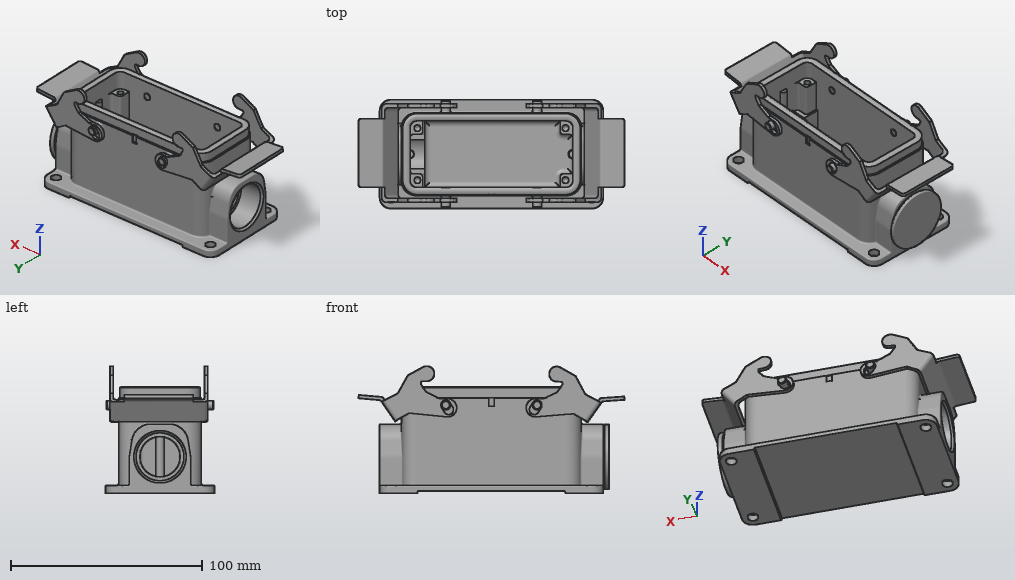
import cadquery as cq
import math

base_length = 117.0
base_width = 57.0
base_top = 4.2
base_corner_radius = 6.0
mounting_hole_diameter = 5.6
relief_length = 77.6
relief_depth = 1.2
relief_flare = 0.6

junction_radius = 0.9
outer_edge_radius = 0.7

box_length = 94.0
box_width = 43.3
box_corner_radius = 7.8
box_top = 50.0
box_shoulder_chamfer = 0.4
rim_length = 92.7
rim_width = 42.3
rim_wall = 3.8
rim_corner_radius = 7.4
rim_top = 55.8
rim_crown = 0.7
cavity_length = rim_length - 2 * rim_wall
cavity_width = rim_width - 2 * rim_wall
cavity_corner_radius = rim_corner_radius - rim_wall
floor_z = 4.0
floor_fillet = 3.0
notch_width = 3.0
notch_height = 4.6
notch_depth = 1.0

post_size_x = 6.6
post_inner_y = 10.3
post_top = 44.6
post_corner_radius = 1.5
post_root_radius = 1.7
screw_hole_diameter = 3.4
screw_hole_x = 38.7
screw_hole_y = 13.6
screw_hole_depth = 10.0
screw_hole_tip_depth = 1.0
rib_top = post_top
rib_top_diameter = 4.0
rib_base_diameter = 4.75
block_inner_x = -34.9
block_top = 26.3

entry_z = 19.1
entry_half_width = 16.05
entry_knee_z = 18.05
entry_knee_radius = 13.0
entry_lean = 9.0
entry_top = 36.2
entry_crown_radius = 9.9
entry_end_x = base_length / 2
bore_diameter = 25.0
bore_mouth_diameter = 27.4
bore_end_x = 44.3
passage_diameter = 21.0

plug_head_diameter = 34.0
plug_neck_diameter = 32.0
plug_neck_thickness = 0.7
plug_end_x = 61.5
plug_edge_radius = 0.4
plug_depth = 8.0

pin_x = 23.85
pin_z = 46.1
pin_diameter = 4.75
pin_end_y = 28.0
pin_end_chamfer = 0.4
pin_root_diameter = 6.72
pin_dimple_diameter = 4.0
pin_dimple_depth = 0.3

lever_width = 51.3
lever_sheet = 1.9
lever_shift_y = 0.6
lever_corner_radius = 2.3
web_bend_radius = 2.2
handle_width = 36.0
handle_end_x = -69.38
handle_end_top = 51.5
handle_tilt = 5.0
handle_corner_radius = 1.6
handle_bend_radius = 1.5
handle_under_radius = 2.0
hook_center = (-33.8, 62.53)
hook_radius = 4.0
boss_center = (-22.9, 44.7)
boss_radius = 4.75
boss_shoulder = (-26.8, 49.4)
slot_diameter = 5.1
slot_end = (-22.4, 43.7)
web_top = (-55.75, 48.85)
web_bottom = (-48.75, 38.6)
right_lever_turn = 1.0

tolerance = 0.01
corners = [(side_x, side_y) for side_x in (-1, 1) for side_y in (-1, 1)]


def box_between(x0, x1, y0, y1, z0, z1):
    return cq.Workplane("XY").box(x1 - x0, y1 - y0, z1 - z0, centered=False).translate((x0, y0, z0))


def rounded_block(length, width, radius, z0, z1):
    """Rectangular block with rounded vertical corners."""
    outline = cq.Sketch().rect(length, width).vertices().fillet(radius)
    return cq.Workplane("XY").workplane(offset=z0).placeSketch(outline).extrude(z1 - z0)


def mirrored(shape, side_x, side_y):
    """Copy of a shape built at +X +Y, moved to the corner given by two signs."""
    if side_x < 0:
        shape = shape.mirror("YZ")
    if side_y < 0:
        shape = shape.mirror("XZ")
    return shape


def rod_x(diameter, x0, x1):
    """Cylinder along X on the axis of the cable entries."""
    return cq.Workplane("YZ", origin=(x0, 0, entry_z)).circle(diameter / 2).extrude(x1 - x0)


def make_base():
    base = rounded_block(base_length, base_width, base_corner_radius, 0, base_top)
    half = relief_length / 2
    relief = (
        cq.Workplane("XZ", origin=(0, base_width / 2, 0))
        .polyline([
            (-half, 0),
            (-half + relief_flare, relief_depth),
            (half - relief_flare, relief_depth),
            (half, 0),
        ])
        .close()
        .extrude(base_width)
    )
    return base.cut(relief)


def make_entry(side):
    """Domed cable entry at one end; side is -1 for the open end and +1 for the plugged end."""
    lean = math.radians(entry_lean)
    crown_z = entry_top - entry_crown_radius
    knee_end = (
        entry_half_width - entry_knee_radius * (1 - math.cos(lean)),
        entry_knee_z + entry_knee_radius * math.sin(lean),
    )
    crown_start_z = crown_z + entry_crown_radius * math.sin(lean)
    crown_start_y = knee_end[0] - (crown_start_z - knee_end[1]) * math.tan(lean)
    flat_half = crown_start_y - entry_crown_radius * math.cos(lean)
    crown_mid_angle = (lean + math.pi / 2) / 2
    crown_mid = (
        flat_half + entry_crown_radius * math.cos(crown_mid_angle),
        crown_z + entry_crown_radius * math.sin(crown_mid_angle),
    )
    knee_mid = (
        entry_half_width - entry_knee_radius * (1 - math.cos(lean / 2)),
        entry_knee_z + entry_knee_radius * math.sin(lean / 2),
    )
    inner_x = cavity_length / 2
    half = (
        cq.Workplane("YZ", origin=(inner_x, 0, 0))
        .moveTo(0, 0)
        .lineTo(entry_half_width, 0)
        .lineTo(entry_half_width, entry_knee_z)
        .threePointArc(knee_mid, knee_end)
        .lineTo(crown_start_y, crown_start_z)
        .threePointArc(crown_mid, (flat_half, entry_top))
        .lineTo(0, entry_top)
        .close()
        .extrude(entry_end_x - inner_x)
    )
    entry = half.union(half.mirror("XZ"))
    return entry if side > 0 else entry.mirror("YZ")


def make_rim():
    """Rim with a rounded top, swept around the opening."""
    middle_length = rim_length - rim_wall
    middle_width = rim_width - rim_wall
    middle_radius = rim_corner_radius - rim_wall / 2
    path = rounded_block(middle_length, middle_width, middle_radius, box_top, rim_top).faces("<Z").wires()
    half_wall = rim_wall / 2
    profile = (
        cq.Workplane("XZ", origin=(middle_length / 2, 0, 0))
        .moveTo(-half_wall, box_top)
        .lineTo(half_wall, box_top)
        .lineTo(half_wall, rim_top - rim_crown)
        .threePointArc((0, rim_top), (-half_wall, rim_top - rim_crown))
        .close()
    )
    return profile.sweep(path)


def make_post(side_x, side_y):
    """Screw post in one corner of the cavity."""
    outer_x = (cavity_length + rim_wall) / 2
    outer_y = (cavity_width + rim_wall) / 2
    inner_x = cavity_length / 2 - post_size_x
    post = box_between(inner_x, outer_x, post_inner_y, outer_y, floor_z, post_top)
    post = post.edges("|Z and <X and <Y").fillet(post_corner_radius)
    return mirrored(post, side_x, side_y)


def make_post_root(side_x, side_y):
    """Concave flare between a screw post and the end wall."""
    outer_x = (cavity_length + rim_wall) / 2
    root_x = cavity_length / 2 - post_root_radius
    root_y = post_inner_y - post_root_radius
    root = box_between(root_x, outer_x, root_y, post_inner_y, floor_z, post_top)
    hollow = cq.Workplane("XY", origin=(root_x, root_y, floor_z)).circle(post_root_radius).extrude(post_top)
    return mirrored(root.cut(hollow), side_x, side_y)


def make_cavity():
    """Space inside the walls, around the posts and the thickened wall, with a rounded floor edge."""
    cavity = rounded_block(cavity_length, cavity_width, cavity_corner_radius, floor_z, rim_top)
    cavity = cavity.cut(
        box_between(-cavity_length / 2, block_inner_x, -cavity_width / 2, cavity_width / 2, floor_z, block_top)
    )
    for side_x, side_y in corners:
        cavity = cavity.cut(make_post(side_x, side_y))
    return cavity.faces("<Z").edges().fillet(floor_fillet)


def make_rib(side):
    """Half-round tapered rib up the middle of an end wall."""
    return (
        cq.Workplane("XY", origin=(side * cavity_length / 2, 0, floor_z))
        .circle(rib_base_diameter / 2)
        .workplane(offset=rib_top - floor_z)
        .circle(rib_top_diameter / 2)
        .loft()
    )


def make_pin(side_x, side_y):
    """Pivot pin standing out of a long wall on a flared root."""
    wall_y = box_width / 2
    root_radius = (pin_root_diameter - pin_diameter) / 2
    inner_y = (cavity_width + rim_wall) / 2
    radius = pin_diameter / 2
    arc_point = root_radius * (1 - math.sqrt(0.5))
    pin = (
        cq.Workplane("XY")
        .moveTo(0, inner_y)
        .lineTo(radius + root_radius, inner_y)
        .lineTo(radius + root_radius, wall_y)
        .threePointArc((radius + arc_point, wall_y + arc_point), (radius, wall_y + root_radius))
        .lineTo(radius, pin_end_y - pin_end_chamfer)
        .lineTo(radius - pin_end_chamfer, pin_end_y)
        .lineTo(0, pin_end_y)
        .close()
        .revolve(360, (0, 0, 0), (0, 1, 0))
        .translate((pin_x, 0, pin_z))
    )
    return mirrored(pin, side_x, side_y)


def is_on_end_plane(edge):
    box = edge.BoundingBox()
    return abs(abs(edge.Center().x) - entry_end_x) < tolerance and box.xlen < tolerance


def is_joint(edge):
    """True where the walls meet the base or an entry, and where an entry meets the base."""
    box = edge.BoundingBox()
    center = edge.Center()
    if is_on_end_plane(edge):
        return False
    on_base_top = abs(box.zmax - base_top) < tolerance and box.zlen < tolerance
    foot = on_base_top and abs(center.y) < box_width / 2 + tolerance
    around_entry = (
        abs(center.x) > box_length / 2 - 1
        and box.xlen < 1
        and box.zmin > base_top - tolerance
        and box.zmax < entry_top + tolerance
    )
    return foot or around_entry


def is_outer_edge(edge):
    """True for the top edge of the base and for the outline of a cable entry's end face."""
    beside_corner = abs(edge.Center().y) > base_width / 2 - base_corner_radius
    above_base = edge.BoundingBox().zmin > base_top - tolerance
    at_base_top = edge.BoundingBox().zmax < base_top + tolerance
    return above_base and (is_on_end_plane(edge) or (beside_corner and at_base_top))


def make_shell():
    """Base, walls and cable entries as one solid block, with blended joints and rounded edges."""
    walls = rounded_block(box_length, box_width, box_corner_radius, base_top, box_top)
    walls = walls.faces(">Z").edges().chamfer(box_shoulder_chamfer)
    shell = make_base().union(walls)
    for side in (-1, 1):
        shell = shell.union(make_entry(side))
    joints = shell.newObject([edge for edge in shell.edges().vals() if is_joint(edge)])
    shell = joints.fillet(junction_radius)
    outer_edges = shell.newObject([edge for edge in shell.edges().vals() if is_outer_edge(edge)])
    return outer_edges.fillet(outer_edge_radius)


def make_screw_hole(side_x, side_y):
    hole = (
        cq.Workplane("XZ", origin=(screw_hole_x, screw_hole_y, post_top))
        .polyline([
            (0, 0),
            (screw_hole_diameter / 2, 0),
            (screw_hole_diameter / 2, -screw_hole_depth),
            (0, -screw_hole_depth - screw_hole_tip_depth),
        ])
        .close()
        .revolve(360, (0, 0, 0), (0, 1, 0))
    )
    return mirrored(hole, side_x, side_y)


def make_mounting_hole(side_x, side_y):
    center_x = base_length / 2 - base_corner_radius
    center_y = base_width / 2 - base_corner_radius
    hole = cq.Workplane("XY").center(center_x, center_y).circle(mounting_hole_diameter / 2).extrude(base_top)
    return mirrored(hole, side_x, side_y)


def make_dimple(side_x, side_y):
    """Shallow round mark on the inner wall behind a pin."""
    dimple = (
        cq.Workplane("XZ", origin=(pin_x, cavity_width / 2 + pin_dimple_depth, pin_z))
        .circle(pin_dimple_diameter / 2)
        .extrude(2 * pin_dimple_depth)
    )
    return mirrored(dimple, side_x, side_y)


def make_notch(side):
    """Locating notch in a long wall, just below the rim."""
    wall_y = side * box_width / 2
    return box_between(-notch_width / 2, notch_width / 2, wall_y - notch_depth, wall_y + notch_depth,
                       box_top - notch_height, box_top)


def make_open_bore():
    """Cable bore of the open end: chamfered mouth, main bore and narrower passage into the cavity."""
    mouth_chamfer = (bore_mouth_diameter - bore_diameter) / 2
    bore = rod_x(bore_diameter, -entry_end_x, -bore_end_x)
    bore = bore.union(rod_x(passage_diameter, -bore_end_x, block_inner_x))
    mouth = rod_x(bore_mouth_diameter, -entry_end_x, -entry_end_x + mouth_chamfer)
    return bore.union(mouth.faces(">X").chamfer(mouth_chamfer * 0.999))


def make_plug():
    """Round plug closing the second cable entry."""
    neck_end_x = entry_end_x + plug_neck_thickness
    shank = rod_x(bore_diameter, entry_end_x - plug_depth, entry_end_x)
    neck = rod_x(plug_neck_diameter, entry_end_x, neck_end_x)
    head = rod_x(plug_head_diameter, neck_end_x, plug_end_x).edges().fillet(plug_edge_radius)
    return shank.union(neck).union(head)


def make_housing():
    housing = make_shell().cut(make_cavity()).union(make_rim())
    for side in (-1, 1):
        housing = housing.union(make_rib(side)).cut(make_notch(side))
    for side_x, side_y in corners:
        housing = housing.union(make_post_root(side_x, side_y)).union(make_pin(side_x, side_y))
        housing = housing.cut(make_screw_hole(side_x, side_y))
        housing = housing.cut(make_mounting_hole(side_x, side_y))
        housing = housing.cut(make_dimple(side_x, side_y))
    return housing.cut(make_open_bore()).cut(make_plug())


def tangent_point(point, center, radius, side):
    """Where the line from a point touches a circle; side +1 or -1 picks which of the two."""
    dx = point[0] - center[0]
    dz = point[1] - center[1]
    angle = math.atan2(dz, dx) + side * math.acos(radius / math.hypot(dx, dz))
    return (center[0] + radius * math.cos(angle), center[1] + radius * math.sin(angle))


def on_circle(center, radius, degrees):
    angle = math.radians(degrees)
    return (center[0] + radius * math.cos(angle), center[1] + radius * math.sin(angle))


def make_lever():
    """Locking lever at the -X end: two hooked side plates, a cross web and a handle."""
    web_length = math.dist(web_top, web_bottom)
    along = ((web_bottom[0] - web_top[0]) / web_length, (web_bottom[1] - web_top[1]) / web_length)
    outward = (along[1] * lever_sheet, -along[0] * lever_sheet)
    web_top_outer = (web_top[0] + outward[0], web_top[1] + outward[1])
    web_bottom_outer = (web_bottom[0] + outward[0], web_bottom[1] + outward[1])
    near_y = lever_shift_y - lever_width / 2
    far_y = lever_shift_y + lever_width / 2

    hook_shoulder = (-43.7, 61.7)
    under_edge = (-38.6, 41.5)
    plates = (
        cq.Workplane("XZ", origin=(0, far_y, 0))
        .moveTo(*web_top_outer)
        .lineTo(*web_top)
        .lineTo(-50.2, 51.6)
        .lineTo(-48.9, 52.4)
        .lineTo(*hook_shoulder)
        .lineTo(*tangent_point(hook_shoulder, hook_center, hook_radius, -1))
        .threePointArc(on_circle(hook_center, hook_radius, 0), on_circle(hook_center, hook_radius, -90))
        .lineTo(-35.7, 58.5)
        .threePointArc((-36.7, 58.1), (-36.8, 57.2))
        .lineTo(-35.7, 55.2)
        .lineTo(-34.0, 52.9)
        .lineTo(*boss_shoulder)
        .lineTo(*on_circle(boss_center, boss_radius, 90))
        .threePointArc(
            on_circle(boss_center, boss_radius, 0),
            tangent_point(under_edge, boss_center, boss_radius, 1))
        .lineTo(*under_edge)
        .lineTo(-43.1, 41.9)
        .lineTo(*web_bottom)
        .lineTo(*web_bottom_outer)
        .close()
        .extrude(lever_width)
    )

    web_plane = cq.Plane(
        origin=(web_top[0], lever_shift_y, web_top[1]),
        xDir=(0, 1, 0),
        normal=(-outward[0], 0, -outward[1]),
    )
    gap = (
        cq.Workplane(web_plane)
        .rect(lever_width - 2 * lever_sheet, 3 * lever_width)
        .extrude(2 * lever_width)
        .faces(cq.selectors.NearestToPointSelector(web_plane.origin.toTuple()))
        .edges(cq.selectors.ParallelDirSelector(cq.Vector(along[0], 0, along[1])))
        .fillet(web_bend_radius)
    )

    slot_angle = math.degrees(math.atan2(slot_end[1] - pin_z, slot_end[0] + pin_x))
    travel = math.dist((-pin_x, pin_z), slot_end)
    slot = (
        cq.Workplane("XZ", origin=(0, far_y, 0))
        .center((slot_end[0] - pin_x) / 2, (slot_end[1] + pin_z) / 2)
        .slot2D(travel + slot_diameter, slot_diameter, slot_angle)
        .extrude(lever_width)
    )
    lever = plates.cut(slot).cut(gap)
    web_middle = ((web_top_outer[0] + web_bottom_outer[0]) / 2, (web_top_outer[1] + web_bottom_outer[1]) / 2)
    for y in (near_y, far_y):
        corner = cq.selectors.NearestToPointSelector((web_middle[0], y, web_middle[1]))
        lever = lever.edges(corner).fillet(lever_corner_radius)

    tilt = math.radians(handle_tilt)
    slope = math.tan(tilt)
    handle_end = (handle_end_x, handle_end_top)
    handle_end_under = (handle_end_x - lever_sheet * math.sin(tilt), handle_end_top - lever_sheet * math.cos(tilt))

    def bend_corner(web_corner, handle_corner):
        """Where the web face through one corner meets the handle face through the other."""
        climb = along[1] / along[0]
        rise = handle_corner[1] - web_corner[1]
        x = (rise + slope * handle_corner[0] + climb * web_corner[0]) / (climb + slope)
        return (x, web_corner[1] + climb * (x - web_corner[0]))

    inner_bend = bend_corner(web_top, handle_end)
    outer_bend = bend_corner(web_top_outer, handle_end_under)
    handle = (
        cq.Workplane("XZ", origin=(0, lever_shift_y + handle_width / 2, 0))
        .polyline([
            web_top,
            inner_bend,
            handle_end,
            handle_end_under,
            outer_bend,
            web_top_outer,
        ])
        .close()
        .extrude(handle_width)
    )
    end_corners = cq.selectors.ParallelDirSelector(cq.Vector(math.sin(tilt), 0, math.cos(tilt)))
    handle = handle.edges(end_corners).fillet(handle_corner_radius)
    bend_edge = cq.selectors.NearestToPointSelector((inner_bend[0], lever_shift_y, inner_bend[1]))
    handle = handle.edges(bend_edge).fillet(handle_bend_radius)
    under_bend = cq.selectors.NearestToPointSelector((outer_bend[0], lever_shift_y, outer_bend[1]))
    handle = handle.edges(under_bend).fillet(handle_under_radius)
    return lever.union(handle)


housing = make_housing()
plug = make_plug()
left_lever = make_lever()
pivot_x, pivot_z = -boss_center[0], boss_center[1]
right_lever = left_lever.mirror("YZ").rotate((pivot_x, 0, pivot_z), (pivot_x, 1, pivot_z), right_lever_turn)

result = cq.Compound.makeCompound([housing.val(), plug.val(), left_lever.val(), right_lever.val()])